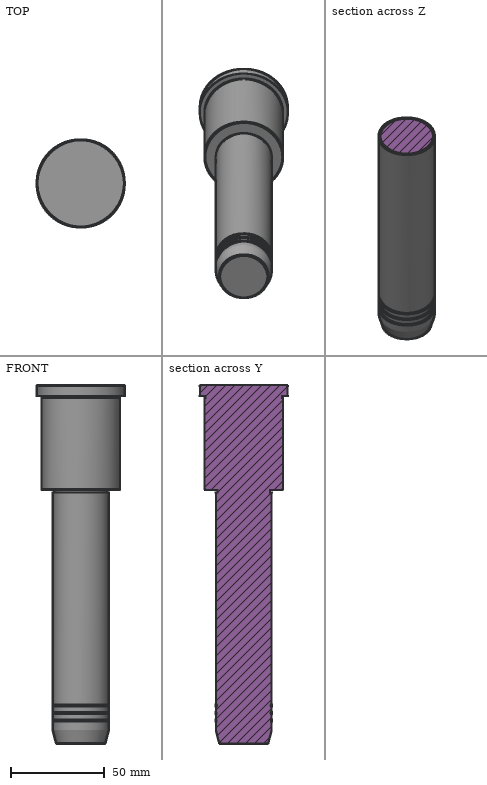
import cadquery as cq

total_length = 191.0
head_height = 6.0
body_end_depth = 56.0
relief_height = 1.0
neck_height = 1.1
tip_height = 7.3

head_diameter = 47.0
body_diameter = 42.0
relief_diameter = 41.0
shaft_diameter = 30.0
neck_diameter = 28.3
tip_diameter = 26.2

head_chamfer = 0.5
body_chamfer = 0.5
tip_chamfer = 0.5

groove_count = 3
groove_pitch = 4.0
groove_width = 1.0
first_groove_height = 12.5

head_bottom = total_length - head_height
body_top = head_bottom - relief_height
body_bottom = total_length - body_end_depth
shaft_top = body_bottom - neck_height


def cylinder(diameter, bottom, top):
    """Cylinder on the Z axis between two heights."""
    return cq.Workplane("XY", origin=(0, 0, bottom)).circle(diameter / 2).extrude(top - bottom)


def ring_groove(center_height):
    """Ring of square section standing on its corner, to cut a V out of the shaft surface."""
    section = (
        cq.Workplane("XZ")
        .center(shaft_diameter / 2, center_height)
        .polygon(4, groove_width)
    )
    axis_start = (-shaft_diameter / 2, 0)
    axis_end = (-shaft_diameter / 2, 1)
    return section.revolve(360, axis_start, axis_end)


head = cylinder(head_diameter, head_bottom, total_length).faces(">Z").chamfer(head_chamfer)
relief = cylinder(relief_diameter, body_top, head_bottom)
body = cylinder(body_diameter, body_bottom, body_top).faces("<Z").chamfer(body_chamfer)
neck = cylinder(neck_diameter, shaft_top, body_bottom)

shaft = cylinder(shaft_diameter, tip_height, shaft_top)
for index in range(groove_count):
    shaft = shaft.cut(ring_groove(first_groove_height + index * groove_pitch))

tip = (
    cq.Workplane("XY")
    .circle(tip_diameter / 2)
    .workplane(offset=tip_height)
    .circle(shaft_diameter / 2)
    .loft(ruled=True)
    .faces("<Z")
    .chamfer(tip_chamfer)
)

result = head.union(relief).union(body).union(neck).union(shaft).union(tip)